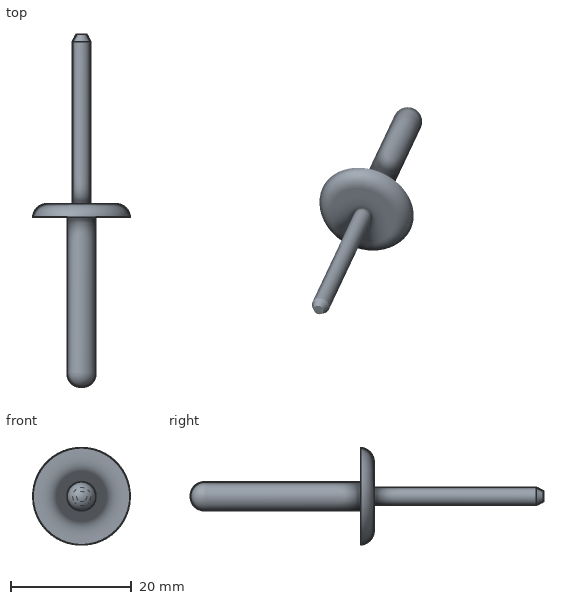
import cadquery as cq
import math

overall_length = 58.53

body_radius = 2.4
body_length = 28.2

flange_radius = 16.13 / 2
flange_thickness = 2.25
flange_rim_height = 0.1
edge_round_radius = 2.5

mandrel_radius = 1.5
tip_radius = 0.85
tip_length = 1.25

body_end = -body_length
dome_center = body_end + body_radius
mandrel_end = overall_length - body_length
diagonal = math.sqrt(0.5)

round_center = flange_thickness - edge_round_radius
round_start_angle = math.asin((flange_rim_height - round_center) / edge_round_radius)
round_middle_angle = (round_start_angle + math.pi / 2) / 2
crown_radius = flange_radius - edge_round_radius * math.cos(round_start_angle)


def add_body(outline):
    """Hemispherical end and straight shank, from the axis up to the flange face."""
    dome_middle = (dome_center - body_radius * diagonal, body_radius * diagonal)
    outline = outline.threePointArc(dome_middle, (dome_center, body_radius))
    return outline.lineTo(0, body_radius)


def add_flange(outline):
    """Flat face, thin rim, rounded edge and flat crown."""
    round_middle = (
        round_center + edge_round_radius * math.sin(round_middle_angle),
        crown_radius + edge_round_radius * math.cos(round_middle_angle),
    )
    outline = outline.lineTo(0, flange_radius)
    outline = outline.lineTo(flange_rim_height, flange_radius)
    outline = outline.threePointArc(round_middle, (flange_thickness, crown_radius))
    return outline.lineTo(flange_thickness, mandrel_radius)


def add_mandrel(outline):
    """Straight pin and tapered tip, ending on the axis."""
    outline = outline.lineTo(mandrel_end - tip_length, mandrel_radius)
    outline = outline.lineTo(mandrel_end, tip_radius)
    return outline.lineTo(mandrel_end, 0)


half_section = cq.Workplane("YZ").moveTo(body_end, 0)
half_section = add_body(half_section)
half_section = add_flange(half_section)
half_section = add_mandrel(half_section).close()

result = half_section.revolve(360, (0, 0, 0), (1, 0, 0))